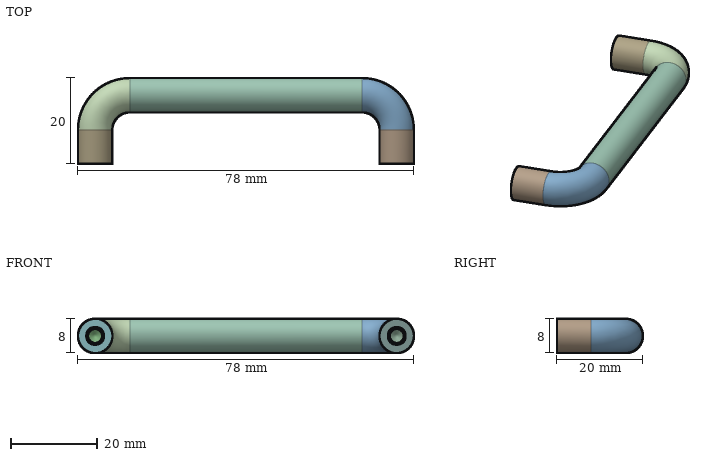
import cadquery as cq
import math

length = 78.0
height = 20.0
bar_diameter = 8.0
bend_radius = 8.0
hole_diameter = 3.3
mouth_diameter = 4.1
hole_depth = 10.0
drill_point_angle = 118.0

bar_radius = bar_diameter / 2
leg_x = (length - bar_diameter) / 2
foot_y = -height / 2
grip_y = height / 2 - bar_radius
bend_y = grip_y - bend_radius
grip_end_x = leg_x - bend_radius
countersink_depth = (mouth_diameter - hole_diameter) / 2
drill_point_length = hole_diameter / 2 / math.tan(math.radians(drill_point_angle / 2))


def make_bar():
    """Round bar swept along a U-shaped centerline with two tangent bends."""
    centerline = (
        cq.Workplane("XY")
        .moveTo(-leg_x, foot_y)
        .lineTo(-leg_x, bend_y)
        .tangentArcPoint((-grip_end_x, grip_y), relative=False)
        .lineTo(grip_end_x, grip_y)
        .tangentArcPoint((leg_x, bend_y), relative=False)
        .lineTo(leg_x, foot_y)
    )
    profile = cq.Workplane("XZ", origin=(-leg_x, foot_y, 0)).circle(bar_radius)
    return profile.sweep(centerline)


def make_screw_hole(x):
    """Blind drilled hole with a conical end and a 45-degree countersink at the foot."""
    return (
        cq.Workplane("XY", origin=(x, foot_y, 0))
        .lineTo(mouth_diameter / 2, 0)
        .lineTo(hole_diameter / 2, countersink_depth)
        .lineTo(hole_diameter / 2, hole_depth)
        .lineTo(0, hole_depth + drill_point_length)
        .close()
        .revolve(360, (0, 0, 0), (0, 1, 0))
    )


result = make_bar()
for x in (-leg_x, leg_x):
    result = result.cut(make_screw_hole(x))